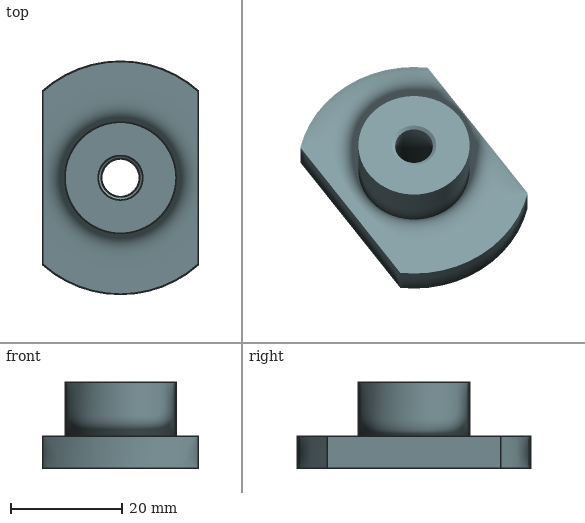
import cadquery as cq

plate_diameter = 41.85
plate_width = 28.0
plate_thickness = 5.8

boss_diameter = 19.95
total_height = 15.5

bore_diameter = 6.8
bore_mouth_diameter = 8.0
bore_chamfer_depth = 0.35


def make_plate():
    disc = cq.Workplane("XY").circle(plate_diameter / 2).extrude(plate_thickness)
    between_flats = cq.Workplane("XY").rect(plate_width, plate_diameter).extrude(plate_thickness)
    return disc.intersect(between_flats)


def make_boss():
    return cq.Workplane("XY").circle(boss_diameter / 2).extrude(total_height)


def make_bore():
    bore = cq.Workplane("XY").circle(bore_diameter / 2).extrude(total_height)
    mouth = (
        cq.Workplane("XY", origin=(0, 0, total_height))
        .circle(bore_mouth_diameter / 2)
        .workplane(offset=-bore_chamfer_depth)
        .circle(bore_diameter / 2)
        .loft(ruled=True)
    )
    return bore.union(mouth)


result = make_plate().union(make_boss()).cut(make_bore())